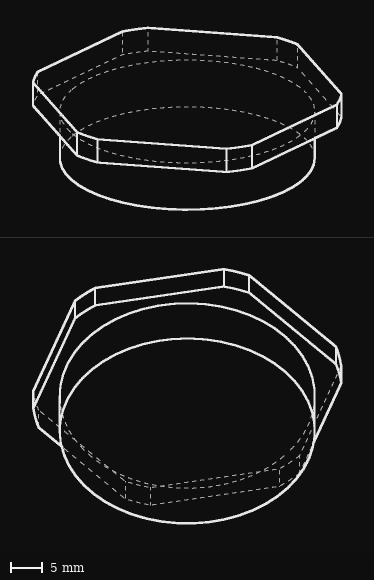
import cadquery as cq
import math

head_across_flats = 44.0
head_corner_diameter = 48.6
head_thickness = 4.0

plug_diameter = 40.0
plug_length = 8.0


def make_head():
    """Hexagonal plate with flats facing +Y and -Y, corners trimmed to a circle."""
    across_corners = head_across_flats / math.cos(math.pi / 6)
    base = cq.Workplane("XY").workplane(offset=plug_length)
    hexagon = base.polygon(6, across_corners).extrude(head_thickness)
    corner_limit = base.circle(head_corner_diameter / 2).extrude(head_thickness)
    return hexagon.intersect(corner_limit)


def make_plug():
    """Solid cylinder standing on the XY plane."""
    return cq.Workplane("XY").circle(plug_diameter / 2).extrude(plug_length)


result = make_plug().union(make_head())